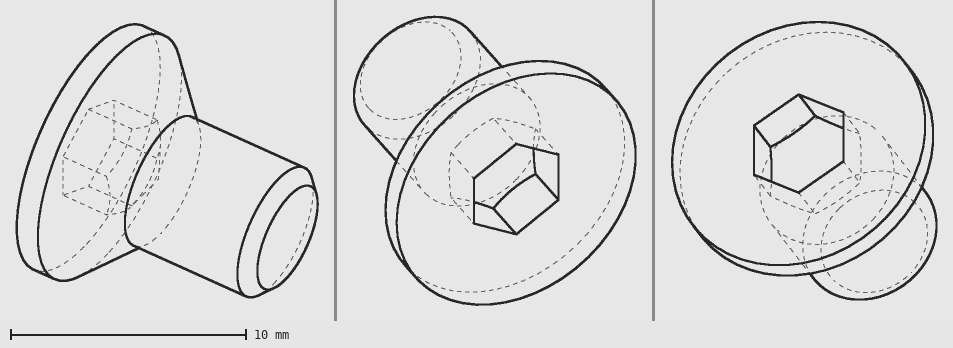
import cadquery as cq
import math

length = 10.0
head_diameter = 11.34
shank_diameter = 6.0
rim_thickness = 1.07
tip_chamfer = 0.61
socket_width = 4.0
socket_depth = 2.18
floor_slope = 30.0

head_radius = head_diameter / 2
shank_radius = shank_diameter / 2
cone_end = rim_thickness + head_radius - shank_radius
socket_corner_radius = socket_width / 2 / math.cos(math.radians(30))
floor_height = socket_corner_radius * math.tan(math.radians(floor_slope))


def make_body():
    """Revolve the half profile of head, countersink and shank about X."""
    return (
        cq.Workplane("XY")
        .polyline([
            (0, 0),
            (0, head_radius),
            (rim_thickness, head_radius),
            (cone_end, shank_radius),
            (length - tip_chamfer, shank_radius),
            (length, shank_radius - tip_chamfer),
            (length, 0),
        ])
        .close()
        .revolve(360, (0, 0, 0), (1, 0, 0))
    )


def make_socket():
    """Hexagonal prism with corners on +Z and -Z, ended by a conical floor."""
    hexagon = (
        cq.Workplane("YZ")
        .transformed(rotate=(0, 0, 90))
        .polygon(6, 2 * socket_corner_radius)
        .extrude(socket_depth + floor_height)
    )
    pointed_bore = (
        cq.Workplane("XY")
        .polyline([
            (0, 0),
            (0, socket_corner_radius),
            (socket_depth, socket_corner_radius),
            (socket_depth + floor_height, 0),
        ])
        .close()
        .revolve(360, (0, 0, 0), (1, 0, 0))
    )
    return hexagon.intersect(pointed_bore)


result = make_body().cut(make_socket())